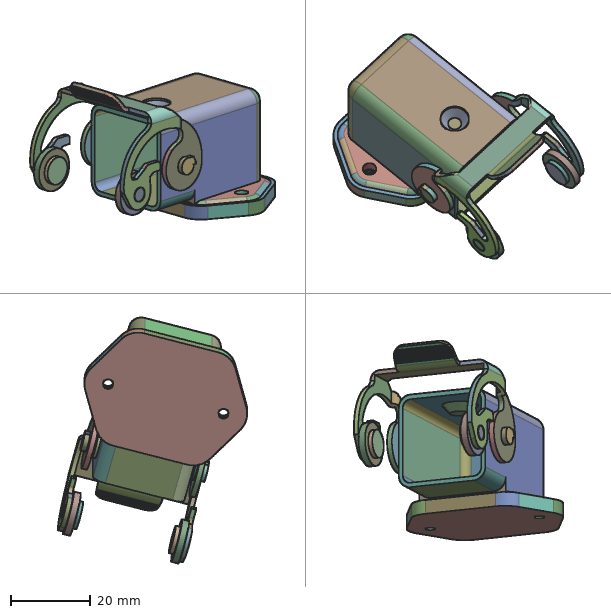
import cadquery as cq
import math

hood_width = 23.9
hood_back_y = 12.0
mouth_y = -26.5
hood_top = 28.35
overhang_bottom = 4.3
overhang_start_y = -13.95
hood_radius = 3.2
side_wall = 1.15
top_wall = 1.25
bottom_wall = 1.15
back_wall = 1.2
cavity_radius = hood_radius - side_wall

flange_half_depth = 15.25
flange_side_distance = 19.0
flange_thickness = 3.6
flange_radius = 6.0
pad_top = overhang_bottom
pad_edge_radius = 2.1
pad_inset = 0.55
screw_x = flange_side_distance / math.cos(math.radians(30)) - flange_radius / math.cos(math.radians(30))
screw_radius = 1.25
screw_head_radius = 1.7
screw_floor = 1.2

dimple_y = -15.3
dimple_radius = 3.6
dimple_floor_radius = 1.7
dimple_rim = 0.55
dimple_floor = hood_top - dimple_rim - (dimple_radius - dimple_floor_radius)
boss_radius = 4.55
boss_tip_radius = 2.6
boss_bottom = 25.0

arm_outer_x = 16.25
arm_inner_x = 15.0
hub_outer_x = 14.8
hub_inner_x = 13.4
jog_end_y = -22.55
bridge_top = 33.45
sheet = 1.15
bridge_back_y = -28.8
bridge_front_y = -34.4
bridge_corner = 2.3
bend_radius = 2.65
bend_bottom = bridge_top - bend_radius
bend_steps = 6
spare = 0.6
slot_split_z = 23.9
slot_split_y = -29.9
lever_front_y = -45.45
lever_back_y = -11.95

pivot = (-20.9, 16.4)
hub_radius = 6.6
back_bow_radius = 13.0
front_bow_radius = 13.75
back_bow_angle = -5.0
front_bow_center = (-30.8, pivot[1])
bow_inner_center = (-29.3, 14.95)
bow_inner_radius = 13.2

roller_center = (-38.9, 13.15)
heel_radius = 4.0
hook_top = 20.3
hook_bottom = 17.8
hook_tip_y = -31.15
hook_chamfer = 0.6
slot_floor = 17.45

collar_radius = 3.2
collar_outer_x = 12.8
neck_radius = 2.5
pin_radius = 2.2
pin_outer_x = 16.15
key_reach = 3.0
key_side = 0.5
key_flat = 2.1
roller_radius = 5.55
roller_inner_x = 13.2
washer_radius = 3.6
washer_inner_x = 12.1
rivet_radius = 1.85
rivet_outer_x = 16.45

tab_angle = 50.0
tab_tip_top = (-39.2, 38.1)
tab_bend_radius = 1.9
tab_tip_half_width = 7.8
tab_root_half_width = 8.55
tab_length = 8.4
tab_corner_radius = 3.1
groove_count = 5
groove_pitch = 0.85
groove_first = 1.0
groove_depth = 0.21


def on_circle(center, radius, angle):
    """Point on a circle at an angle in degrees."""
    a = math.radians(angle)
    return (center[0] + radius * math.cos(a), center[1] + radius * math.sin(a))


def angle_of(center, point):
    """Angle in degrees of a point seen from a center."""
    return math.degrees(math.atan2(point[1] - center[1], point[0] - center[0]))


def upper_z(center, radius, y):
    """Height of the upper half of a circle in the YZ plane at a given Y."""
    return center[1] + math.sqrt(radius ** 2 - (y - center[0]) ** 2)


def front_y(center, radius, z):
    """Y of the front (-Y) half of a circle in the YZ plane at a given height."""
    return center[0] - math.sqrt(radius ** 2 - (z - center[1]) ** 2)


def middle_of_arc(center, radius, start, end):
    """Point halfway along the shorter arc between two points of a circle."""
    a = angle_of(center, start)
    turn = (angle_of(center, end) - a + 180.0) % 360.0 - 180.0
    return on_circle(center, radius, a + turn / 2)


back_bow_center = on_circle(pivot, hub_radius - back_bow_radius, back_bow_angle)


def box(x0, x1, y0, y1, z0, z1):
    return cq.Workplane("XY").box(x1 - x0, y1 - y0, z1 - z0, centered=False).translate((x0, y0, z0))


def disc(center, radius, x0, x1):
    """Disc lying across X, between x0 and x1."""
    return cq.Workplane("YZ", origin=(x0, 0, 0)).center(*center).circle(radius).extrude(x1 - x0)


def cone(y, z_top, r_top, z_bottom, r_bottom):
    return (
        cq.Workplane("XY", origin=(0, y, z_bottom)).circle(r_bottom)
        .workplane(offset=z_top - z_bottom).circle(r_top).loft()
    )


def hexagon(inset, z0, z1):
    """Hexagonal plate with two sides along X, shrunk by an inset."""
    half_depth = flange_half_depth - inset
    tip_x = (flange_side_distance - inset) / math.cos(math.radians(30))
    side_x = tip_x - half_depth * math.tan(math.radians(30))
    points = [
        (tip_x, 0), (side_x, half_depth), (-side_x, half_depth),
        (-tip_x, 0), (-side_x, -half_depth), (side_x, -half_depth),
    ]
    plate = cq.Workplane("XY", origin=(0, 0, z0)).polyline(points).close().extrude(z1 - z0)
    return plate.edges("|Z").fillet(flange_radius - inset)


def make_flange():
    plate = hexagon(0, 0, flange_thickness)
    pad = hexagon(pad_inset, flange_thickness / 2, pad_top)
    return plate.union(pad.faces(">Z").edges().fillet(pad_edge_radius))


def make_hood():
    half = hood_width / 2
    body = box(-half, half, mouth_y, hood_back_y, flange_thickness / 2, hood_top)
    body = body.edges("|Z and >Y").fillet(hood_radius)
    body = body.faces(">Z").edges("not <Y").fillet(hood_radius)
    mouth = box(-half, half, mouth_y, overhang_start_y, overhang_bottom, hood_top)
    mouth = mouth.edges("|Y").fillet(hood_radius)
    return body.cut(box(-half, half, mouth_y, overhang_start_y, 0, hood_top)).union(mouth)


def make_cavity():
    half = hood_width / 2 - side_wall
    cavity = box(
        -half, half, mouth_y, hood_back_y - back_wall,
        overhang_bottom + bottom_wall, hood_top - top_wall,
    )
    return cavity.edges("|Y or (|Z and >Y)").fillet(cavity_radius)


def make_dimple():
    rim = cq.Workplane("XY", origin=(0, dimple_y, hood_top - dimple_rim)).circle(dimple_radius)
    slope = cone(dimple_y, hood_top - dimple_rim, dimple_radius, dimple_floor, dimple_floor_radius)
    return rim.extrude(dimple_rim).union(slope)


def make_housing():
    boss = cone(dimple_y, hood_top - top_wall, boss_radius, boss_bottom, boss_tip_radius)
    housing = make_flange().union(make_hood()).cut(make_cavity()).union(boss).cut(make_dimple())
    for x in (-screw_x, screw_x):
        hole = cq.Workplane("XY", origin=(x, 0, 0)).circle(screw_radius).extrude(pad_top)
        head = cq.Workplane("XY", origin=(x, 0, screw_floor)).circle(screw_head_radius).extrude(pad_top)
        housing = housing.cut(hole).cut(head)
    return housing


def make_lever_profile(x):
    """Side outline of the lever at a given X, from the hub over the bridge to the hook."""
    hub_back = on_circle(pivot, hub_radius, back_bow_angle)
    hub_exit = on_circle(pivot, hub_radius, 131.5)
    hub_bottom = (pivot[0], pivot[1] - hub_radius)
    jog_y = -22.9
    jog_top = (jog_y, upper_z(back_bow_center, back_bow_radius, jog_y))
    bend_edge = (bridge_back_y + bend_radius * math.pi / 2, bend_bottom)
    bend_cut = []
    for step in range(1, bend_steps):
        turn = math.pi / 2 * step / bend_steps
        bend_cut.append((bend_edge[0] - bend_radius * turn, bend_bottom + bend_radius * math.sin(turn)))
    bow_start_y = -35.75
    bow_start = (bow_start_y, upper_z(front_bow_center, front_bow_radius, bow_start_y))
    bow_end_z = 14.65
    bow_end = (front_y(front_bow_center, front_bow_radius, bow_end_z), bow_end_z)
    heel_side = on_circle(roller_center, heel_radius, 211)
    heel_front = on_circle(roller_center, heel_radius, 0)
    slot_front_z = 19.25
    slot_front = (front_y(bow_inner_center, bow_inner_radius, slot_front_z), slot_front_z)
    slot_back = (jog_y, upper_z(bow_inner_center, bow_inner_radius, jog_y))
    return (
        cq.Workplane("YZ", origin=(x, 0, 0)).moveTo(*hub_back)
        .threePointArc(middle_of_arc(back_bow_center, back_bow_radius, hub_back, jog_top), jog_top)
        .lineTo(*bend_edge)
        .spline(bend_cut, includeCurrent=True)
        .lineTo(bridge_back_y, bridge_top)
        .lineTo(bridge_back_y, bridge_top + spare)
        .lineTo(bridge_front_y, bridge_top + spare)
        .lineTo(bridge_front_y, bend_bottom)
        .threePointArc((-34.85, 29.95), bow_start)
        .threePointArc(middle_of_arc(front_bow_center, front_bow_radius, bow_start, bow_end), bow_end)
        .lineTo(*heel_side)
        .threePointArc(middle_of_arc(roller_center, heel_radius, heel_side, heel_front), heel_front)
        .lineTo(heel_front[0], 16.85)
        .threePointArc((-34.15, 17.5), (-33.45, hook_bottom))
        .lineTo(hook_tip_y, hook_bottom)
        .lineTo(hook_tip_y, hook_top - hook_chamfer)
        .lineTo(hook_tip_y - hook_chamfer, hook_top)
        .lineTo(-35.45, hook_top)
        .threePointArc((-36.2, 20.0), (-36.8, 19.45))
        .lineTo(-39.7, slot_floor)
        .lineTo(-40.85, slot_floor)
        .threePointArc((-41.6, 18.2), slot_front)
        .threePointArc(
            middle_of_arc(bow_inner_center, bow_inner_radius, slot_front, slot_back), slot_back)
        .threePointArc((-21.3, 24.3), (-22.7, 22.6))
        .threePointArc((-24.05, 22.05), hub_exit)
        .threePointArc(hub_bottom, hub_back)
        .close()
    )


def make_arm_plan():
    """Plan of one arm: hub plate, quarter-round jog, then the outer arm plate."""
    outer_jog = arm_outer_x - hub_outer_x
    inner_jog = arm_inner_x - hub_inner_x
    half = math.sqrt(0.5)
    return (
        cq.Workplane("XY").moveTo(hub_inner_x, lever_back_y)
        .lineTo(hub_outer_x, lever_back_y)
        .lineTo(hub_outer_x, jog_end_y)
        .threePointArc(
            (hub_outer_x + outer_jog * half, jog_end_y - outer_jog * (1 - half)),
            (arm_outer_x, jog_end_y - outer_jog))
        .lineTo(arm_outer_x, lever_front_y)
        .lineTo(arm_inner_x, lever_front_y)
        .lineTo(arm_inner_x, jog_end_y - inner_jog)
        .threePointArc(
            (arm_inner_x - inner_jog * half, jog_end_y - inner_jog * half), (hub_inner_x, jog_end_y))
        .close()
        .extrude(bridge_top + 2 * spare)
    )


def make_lever():
    blank_half = arm_outer_x + spare
    profile = make_lever_profile(-blank_half).extrude(2 * blank_half)
    envelope = box(-arm_outer_x, arm_outer_x, lever_front_y, lever_back_y, 0, bridge_top)
    profile = profile.intersect(envelope.edges("|Y and >Z").fillet(bend_radius))
    hub_zone = box(0, arm_outer_x, slot_split_y, lever_back_y, 0, slot_split_z)
    hub_plate = box(hub_inner_x, hub_outer_x, slot_split_y, lever_back_y, 0, slot_split_z)
    arm = profile.intersect(make_arm_plan().cut(hub_zone).union(hub_plate))
    bridge = box(
        -arm_inner_x, arm_inner_x, bridge_front_y, bridge_back_y + bridge_corner,
        bridge_top - sheet, bridge_top + spare,
    )
    waist = arm_inner_x - bridge_corner
    gap = cq.Workplane("XY").polyline([
        (-waist, bridge_back_y), (waist, bridge_back_y),
        (arm_inner_x, bridge_back_y + bridge_corner), (-arm_inner_x, bridge_back_y + bridge_corner),
    ]).close().extrude(bridge_top + 2 * spare)
    return profile.intersect(bridge.cut(gap)).union(arm).union(arm.mirror("YZ"))


def make_tab():
    """Finger tab bent up from the bridge, grooved underneath."""
    a = math.radians(tab_angle)
    along = (-math.cos(a), math.sin(a))
    down = (-math.sin(a), -math.cos(a))

    def tab_point(back, depth):
        """Point at a distance back from the tip and below the upper face."""
        return (
            tab_tip_top[0] - back * along[0] + depth * down[0],
            tab_tip_top[1] - back * along[1] + depth * down[1],
        )

    bend_center = (bridge_front_y, bridge_top + tab_bend_radius)
    outer = tab_bend_radius + sheet
    profile = (
        cq.Workplane("YZ", origin=(-arm_outer_x, 0, 0)).moveTo(bridge_front_y, bridge_top)
        .threePointArc(
            on_circle(bend_center, tab_bend_radius, 270 - tab_angle / 2),
            on_circle(bend_center, tab_bend_radius, 270 - tab_angle))
        .lineTo(*tab_point(-spare, 0))
        .lineTo(*tab_point(-spare, sheet))
        .lineTo(*on_circle(bend_center, outer, 270 - tab_angle))
        .threePointArc(
            on_circle(bend_center, outer, 270 - tab_angle / 2), (bridge_front_y, bridge_top - sheet))
        .close()
        .extrude(2 * arm_outer_x)
    )
    reach = 2 * tab_bend_radius
    slope = cq.Plane(
        origin=(0, *tab_point(0, reach)), xDir=(1, 0, 0), normal=(0, -down[0], -down[1]))
    outline = (
        cq.Workplane(slope)
        .polyline([
            (-tab_tip_half_width, 0), (tab_tip_half_width, 0),
            (tab_root_half_width, tab_length), (-tab_root_half_width, tab_length)])
        .close()
        .extrude(2 * reach)
    )
    outline = outline.edges(cq.selectors.ParallelDirSelector(slope.zDir)).edges(">Z")
    outline = outline.fillet(tab_corner_radius)
    tab = profile.intersect(outline)
    for i in range(groove_count):
        back = groove_first + i * groove_pitch
        groove = cq.Workplane("YZ", origin=(-arm_outer_x, 0, 0)).polyline([
            tab_point(back - groove_depth, sheet),
            tab_point(back, sheet - groove_depth),
            tab_point(back + groove_depth, sheet),
        ]).close().extrude(2 * arm_outer_x)
        tab = tab.cut(groove)
    return tab


def make_pivot():
    """Collar, neck and keyed pin end that carry the hub on the +X side."""
    collar = disc(pivot, collar_radius, hood_width / 2, collar_outer_x)
    neck = disc(pivot, neck_radius, collar_outer_x, hub_inner_x)
    pin = disc(pivot, pin_radius, hub_inner_x, pin_outer_x)
    key = (
        cq.Workplane("YZ", origin=(hub_outer_x, 0, 0)).center(*pivot)
        .polyline([(0, 0), (key_reach, 0), (key_reach, key_side), (key_flat, key_flat), (0, key_flat)])
        .close().extrude(pin_outer_x - hub_outer_x)
    )
    return collar.union(neck).union(pin).union(key)


def make_roller():
    """Roller with inner washer and outer rivet head on the +X side."""
    roller = disc(roller_center, roller_radius, roller_inner_x, arm_inner_x)
    washer = disc(roller_center, washer_radius, washer_inner_x, roller_inner_x)
    rivet = disc(roller_center, rivet_radius, roller_inner_x, rivet_outer_x)
    return roller.union(washer).union(rivet)


result = make_housing().union(make_lever()).union(make_tab())
for fitting in (make_pivot(), make_roller()):
    result = result.union(fitting).union(fitting.mirror("YZ"))